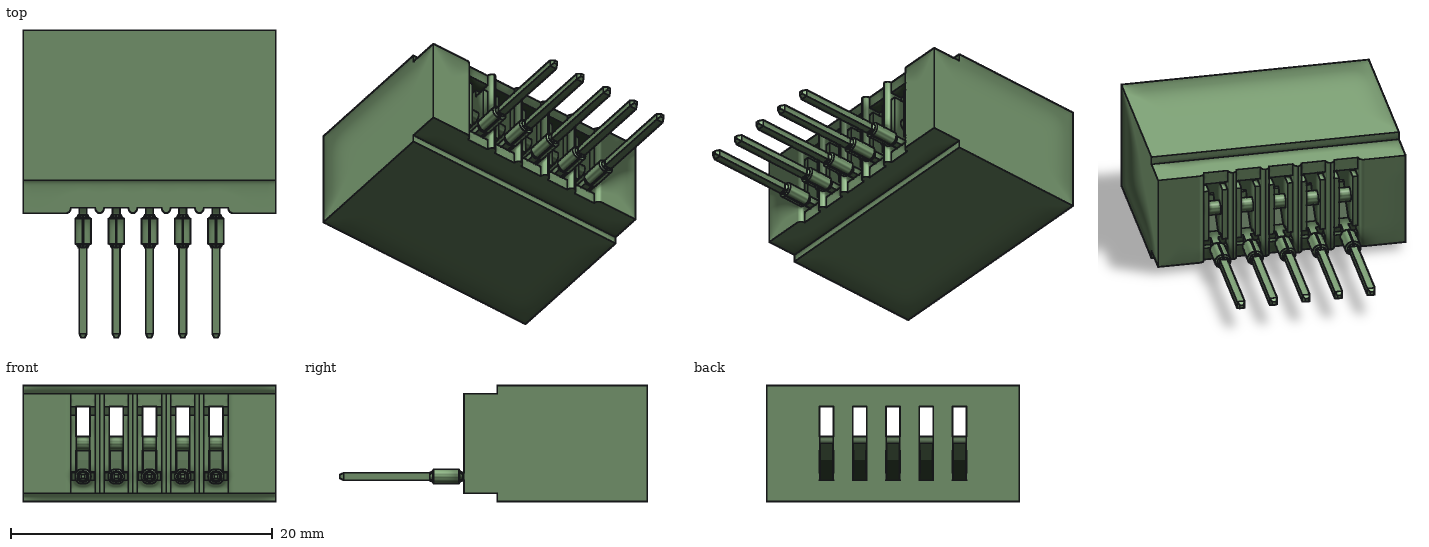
import cadquery as cq
import math


overall_length = 23.5
housing_width = 19.3
housing_height = 8.88
housing_depth = 14.0

contact_count = 5
pitch = 2.54

nose_length = 2.54
nose_step = 0.63
recess_depth = 0.42

passage_width = 1.05
passage_height = 5.65
seat_width = 1.85
seat_height = 0.65
bar_radius = 0.55
bar_front = 1.03

pin_size = 0.59
pin_tip_size = 0.28
pin_tip_length = 0.33
shoulder_width = 1.75
shoulder_length = 0.5
shoulder_front = 0.92
leaf_width = 0.99
leaf_thickness = 0.24
leaf_foot_length = 0.47
leaf_bend_height = 0.96
leaf_lower_angle = 45.0
leaf_upper_height = 1.27
leaf_upper_angle = 60.0

sleeve_start = 0.1
sleeve_length = 2.51
sleeve_radius = 0.56
sleeve_neck_radius = 0.4
sleeve_end_radius = 0.3
sleeve_neck_length = 0.2
sleeve_bevel_length = 0.1
sleeve_seam_width = 0.1

contact_positions = [(i - (contact_count - 1) / 2) * pitch for i in range(contact_count)]
tail_length = overall_length - housing_depth
nose_height = housing_height - 2 * nose_step
shoulder_back = shoulder_front + shoulder_length
passage_floor = -passage_height / 2
pin_z = passage_floor + pin_size / 2


def box(x_range, y_range, z_range):
    """Box between the given limits on each axis."""
    (x0, x1), (y0, y1), (z0, z1) = x_range, y_range, z_range
    return cq.Workplane("XY").box(x1 - x0, y1 - y0, z1 - z0, centered=False).translate((x0, y0, z0))


def centred(size, middle=0.0):
    """Limits of a span of the given size about its middle."""
    return (middle - size / 2, middle + size / 2)


def housing_block():
    """Plain block with a nose that is stepped in at top and bottom."""
    body = box(centred(housing_width), (nose_length, housing_depth), centred(housing_height))
    nose = box(centred(housing_width), (0, nose_length), centred(nose_height))
    return body.union(nose)


def face_pocket(x):
    """Pocket in the nose face at one contact; its flared sides leave a rounded rib between neighbours."""
    floor_half = seat_width / 2
    mouth_half = floor_half + recess_depth
    flare_x = mouth_half - recess_depth * math.sqrt(0.5)
    flare_y = recess_depth * (1 - math.sqrt(0.5))
    return (
        cq.Workplane("XY", origin=(x, 0, -nose_height / 2))
        .moveTo(-floor_half, recess_depth)
        .lineTo(floor_half, recess_depth)
        .threePointArc((flare_x, flare_y), (mouth_half, 0))
        .lineTo(-mouth_half, 0)
        .threePointArc((-flare_x, flare_y), (-floor_half, recess_depth))
        .close()
        .extrude(nose_height)
    )


def contact_opening(x):
    """Through passage with a wide shoulder seat at its top and bottom, less the round bar across it."""
    opening = box(centred(passage_width, x), (recess_depth, housing_depth), centred(passage_height))
    seat_offset = (passage_height - seat_height) / 2
    for seat_z in (seat_offset, -seat_offset):
        seat = box(centred(seat_width, x), (recess_depth, shoulder_back), centred(seat_height, seat_z))
        opening = opening.union(seat)
    bar = (
        cq.Workplane("YZ", origin=(x - passage_width / 2, bar_front + bar_radius, 0))
        .circle(bar_radius)
        .extrude(passage_width)
    )
    return opening.cut(bar)


def make_housing():
    housing = housing_block()
    for x in contact_positions:
        housing = housing.cut(face_pocket(x)).cut(contact_opening(x))
    return housing


def pin():
    """Square pin with a pyramid tip, running from the shoulder to the end of the tail."""
    tip_start = pin_tip_length - tail_length
    shaft = box(centred(pin_size), (tip_start, shoulder_front), centred(pin_size, pin_z))
    tip = (
        cq.Workplane("XZ", origin=(0, tip_start, pin_z))
        .rect(pin_size, pin_size)
        .workplane(offset=pin_tip_length)
        .rect(pin_tip_size, pin_tip_size)
        .loft(ruled=True)
    )
    return shaft.union(tip)


def sleeve():
    """Two half-round shells, open along their top and bottom seams, with two-stage tapered ends."""
    start = -sleeve_start
    end = start - sleeve_length
    neck = sleeve_neck_length
    bevel = sleeve_neck_length + sleeve_bevel_length
    profile = [
        (0, start),
        (sleeve_end_radius, start),
        (sleeve_neck_radius, start - neck),
        (sleeve_radius, start - bevel),
        (sleeve_radius, end + bevel),
        (sleeve_neck_radius, end + neck),
        (sleeve_end_radius, end),
        (0, end),
    ]
    quarter_turn = -90
    half = cq.Workplane("XY").polyline(profile).close().revolve(180, (0, 0, 0), (0, 1, 0))
    right_half = half.rotate((0, 0, 0), (0, 1, 0), quarter_turn).translate((sleeve_seam_width / 2, 0, pin_z))
    return right_half.union(right_half.mirror("YZ"))


def leaf():
    """Spring leaf that rises from the shoulder in two slopes and passes behind the round bar."""
    foot_end = shoulder_back + leaf_foot_length
    foot_top = passage_floor + pin_size
    bend_y = foot_end + leaf_bend_height / math.tan(math.radians(leaf_lower_angle))
    bend_z = foot_top + leaf_bend_height
    top_y = bend_y + leaf_upper_height / math.tan(math.radians(leaf_upper_angle))
    top_z = bend_z + leaf_upper_height
    lower_shift = leaf_thickness / math.sin(math.radians(leaf_lower_angle))
    upper_shift = leaf_thickness / math.sin(math.radians(leaf_upper_angle))
    foot_drop = pin_size / math.tan(math.radians(leaf_lower_angle))
    outline = [
        (shoulder_back, passage_floor),
        (foot_end + lower_shift - foot_drop, passage_floor),
        (bend_y + lower_shift, bend_z),
        (top_y + upper_shift, top_z),
        (top_y, top_z),
        (bend_y, bend_z),
        (foot_end, foot_top),
        (shoulder_back, foot_top),
    ]
    return (
        cq.Workplane("YZ", origin=(-leaf_width / 2, 0, 0))
        .polyline(outline).close()
        .extrude(leaf_width)
    )


def make_contact(x):
    shoulder = box(centred(shoulder_width), (shoulder_front, shoulder_back), centred(pin_size, pin_z))
    return pin().union(sleeve()).union(shoulder).union(leaf()).translate((x, 0, 0))


housing = make_housing()
contacts = [make_contact(x) for x in contact_positions]

result = cq.Compound.makeCompound([housing.val(), *[contact.val() for contact in contacts]])